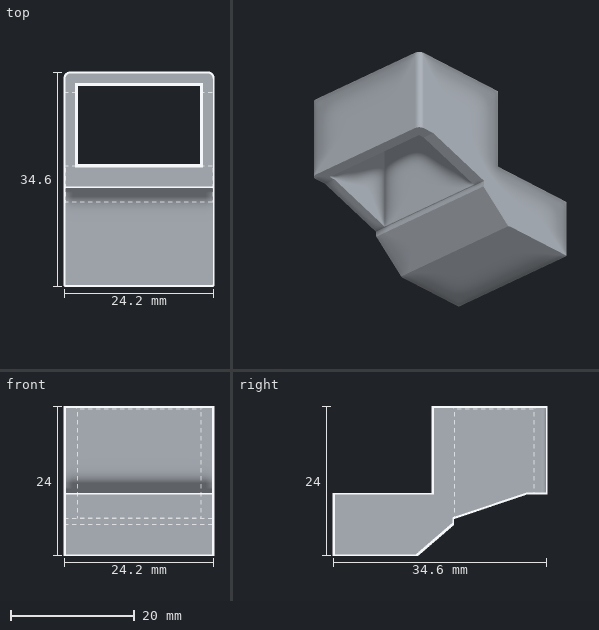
import cadquery as cq

width = 24.2
length = 34.6
height = 24.0

front_block_height = 10.0
front_block_length = 16.02
back_ledge_length = 3.22
slope_drop = 4.0
nose_y = 19.45
nose_height = 5.0
foot_length = 13.63

wall = 1.85
opening_length = 13.42
rim_chamfer = 0.28

back_corner_radius = 1.0
edge_break = 0.15


def make_body():
    """Extrude the stepped profile across the full width."""
    profile = [
        (0, 0),
        (foot_length, 0),
        (nose_y, nose_height),
        (nose_y, front_block_height - slope_drop),
        (length - back_ledge_length, front_block_height),
        (length, front_block_height),
        (length, height),
        (front_block_length, height),
        (front_block_length, front_block_height),
        (0, front_block_height),
    ]
    return cq.Workplane("YZ").polyline(profile).close().extrude(width / 2, both=True)


def dress_outer_edges(body):
    """Round the back corners and break the front and lower slope edges."""
    body = body.edges("|Z and >Y").fillet(back_corner_radius)

    side_edges = [
        (0, front_block_height / 2),
        (front_block_length, (front_block_height + height) / 2),
        ((foot_length + nose_y) / 2, nose_height / 2),
    ]
    for y, z in side_edges:
        for side in (-1, 1):
            edge = cq.selectors.NearestToPointSelector((side * width / 2, y, z))
            body = body.edges(edge).chamfer(edge_break)
    return body


def cut_passage(body):
    """Cut the vertical passage with a chamfer around its top rim."""
    mouth_width = width - 2 * wall
    passage_width = mouth_width - 2 * rim_chamfer
    passage_length = opening_length - 2 * rim_chamfer
    centre_y = length - wall - opening_length / 2
    passage = (
        cq.Workplane("XY")
        .center(0, centre_y)
        .rect(passage_width, passage_length)
        .extrude(height)
    )
    mouth = (
        cq.Workplane("XY", origin=(0, centre_y, height - rim_chamfer))
        .rect(passage_width, passage_length)
        .workplane(offset=rim_chamfer)
        .rect(mouth_width, opening_length)
        .loft(ruled=True)
    )
    return body.cut(passage).cut(mouth)


result = cut_passage(dress_outer_edges(make_body()))